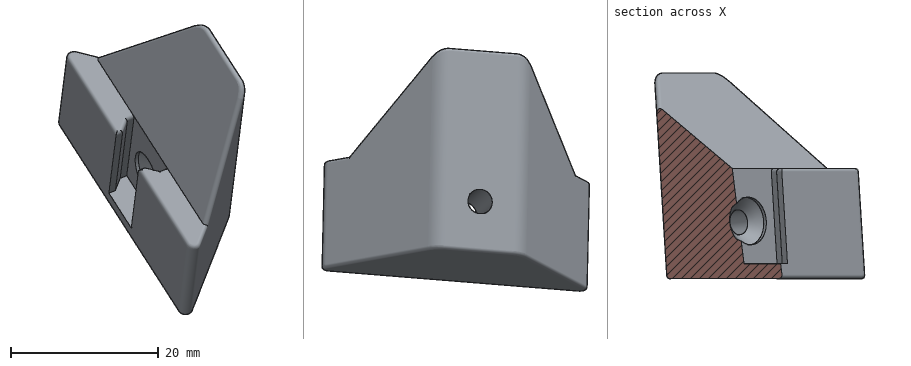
import cadquery as cq
import math

LEAN_ANGLE = 5.0
TURN_ANGLE = -45.0
LEDGE_HEIGHT = 15.0
BLOCK_DEPTH = 14.0
OVERALL_WIDTH = 37.17
FRONT_CORNER_RADIUS = 1.0
BACK_CORNER_RADIUS = 3.0
SLOPE_ANGLE = 40.0
EDGE_RADIUS = 0.5
TRIM_SIZE = 100.0

SLOT_NECK_WIDTH = 6.6
SLOT_NECK_DEPTH = 1.0
SLOT_FLARE = 1.5
SLOT_DEPTH = 3.5
SLOT_FOOT_HEIGHT = 2.08

HEAD_DIAMETER = 6.5
HEAD_RECESS_DEPTH = 0.5
SCREW_HOLE_DIAMETER = 3.4
SCREW_HEIGHT = 7.87

TOLERANCE = 0.01

lean = math.radians(LEAN_ANGLE)
slope = math.radians(SLOPE_ANGLE)


def leaned(shape):
    """Tip a shape built square to the block back by the lean angle."""
    return shape.rotate((0, 0, 0), (1, 0, 0), -LEAN_ANGLE)


def depth_at(depth, height):
    """Level Y position of a point at a given depth behind the front face, at a given height."""
    return depth / math.cos(lean) + height * math.tan(lean)


def block():
    """Block with 45 degree sides, a level foot and ledge, and a sloping face above the ledge."""
    half_front = OVERALL_WIDTH / 2 + FRONT_CORNER_RADIUS * math.sqrt(2)
    half_back = half_front - BLOCK_DEPTH
    plan = cq.Workplane("XY").polyline(
        [(-half_front, 0), (half_front, 0), (half_back, BLOCK_DEPTH), (-half_back, BLOCK_DEPTH)]
    ).close().extrude(TRIM_SIZE / 2, both=True)
    plan = plan.edges("|Z and <Y").fillet(FRONT_CORNER_RADIUS)
    plan = plan.edges("|Z and >Y").fillet(BACK_CORNER_RADIUS)

    slope_foot = depth_at(SLOT_DEPTH, LEDGE_HEIGHT)
    slope_run = TRIM_SIZE * math.tan(slope)
    side = cq.Workplane("YZ").polyline(
        [
            (-TRIM_SIZE, 0),
            (-TRIM_SIZE, LEDGE_HEIGHT),
            (slope_foot, LEDGE_HEIGHT),
            (slope_foot + slope_run, LEDGE_HEIGHT + TRIM_SIZE),
            (slope_foot + slope_run, 0),
        ]
    ).close().extrude(TRIM_SIZE / 2, both=True)
    return leaned(plan).intersect(side)


def slot():
    """Slot with a narrow neck that flares at 45 degrees to a wider back."""
    half_neck = SLOT_NECK_WIDTH / 2
    half_wide = half_neck + SLOT_FLARE
    flare_end = SLOT_NECK_DEPTH + SLOT_FLARE
    outline = cq.Workplane("XY").polyline(
        [
            (-half_neck, -SLOT_DEPTH),
            (half_neck, -SLOT_DEPTH),
            (half_neck, SLOT_NECK_DEPTH),
            (half_wide, flare_end),
            (half_wide, SLOT_DEPTH),
            (-half_wide, SLOT_DEPTH),
            (-half_wide, flare_end),
            (-half_neck, SLOT_NECK_DEPTH),
        ]
    ).close().extrude(TRIM_SIZE / 2, both=True)
    slot_height = LEDGE_HEIGHT - SLOT_FOOT_HEIGHT
    level_band = cq.Workplane("XY").box(TRIM_SIZE, TRIM_SIZE, slot_height, centered=(True, True, False))
    return leaned(outline).intersect(level_band.translate((0, 0, SLOT_FOOT_HEIGHT)))


def rim_edges(body):
    """Edges round the foot, the front and sides of the ledge, and the sloping face above it."""
    rim = []
    ledge_back = depth_at(SLOT_DEPTH, LEDGE_HEIGHT)
    for edge in body.edges().vals():
        box = edge.BoundingBox()
        middle = edge.positionAt(0.5)
        at_foot = box.zmax < TOLERANCE
        at_ledge = box.zlen < TOLERANCE and abs(box.zmin - LEDGE_HEIGHT) < TOLERANCE
        in_front = box.ymin < ledge_back - TOLERANCE
        slope_depth = ledge_back + (middle.z - LEDGE_HEIGHT) * math.tan(slope)
        on_slope = middle.z > LEDGE_HEIGHT + TOLERANCE and abs(middle.y - slope_depth) < TOLERANCE
        if at_foot or (at_ledge and in_front) or on_slope:
            rim.append(edge)
    return rim


def screw_hole():
    """Head recess, 45 degree countersink and through hole, turned about the screw axis."""
    head_radius = HEAD_DIAMETER / 2
    hole_radius = SCREW_HOLE_DIAMETER / 2
    cone_end = HEAD_RECESS_DEPTH + head_radius - hole_radius
    half_section = cq.Workplane("XY").polyline(
        [
            (0, 0),
            (head_radius, 0),
            (head_radius, HEAD_RECESS_DEPTH),
            (hole_radius, cone_end),
            (hole_radius, BLOCK_DEPTH),
            (0, BLOCK_DEPTH),
        ]
    ).close()
    hole = half_section.revolve(360, (0, 0), (0, 1))
    return leaned(hole).translate((0, depth_at(SLOT_DEPTH, SCREW_HEIGHT), SCREW_HEIGHT))


body = block().cut(slot())
body = body.newObject(rim_edges(body)).fillet(EDGE_RADIUS)
body = body.cut(screw_hole())
result = body.rotate((0, 0, 0), (0, 0, 1), TURN_ANGLE)